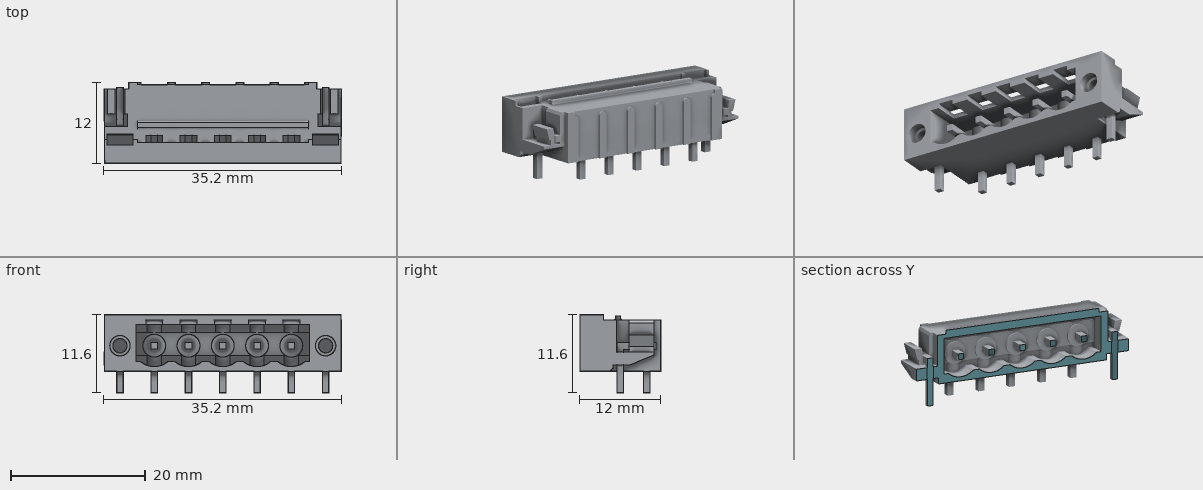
import cadquery as cq
import math


contact_count = 5
anchor_span = 30.5
pitch = anchor_span / (contact_count + 1)
pin_size = 1.0
pin_axis_z = 3.8
pin_tip_y = 1.05
pin_leg_y = 9.93
leg_bottom_z = -3.2
contact_xs = [(i - (contact_count - 1) / 2) * pitch for i in range(contact_count)]

anchor_x = anchor_span / 2
anchor_front_y = 5.5
anchor_rear_y = 11.25
anchor_axis_z = 3.75

depth = 12.0
front_half_width = 17.53
rear_half_width = 17.6
block_rear_y = 5.42
body_half_width = 13.95
body_height = 7.65
cap_height = 8.4
cap_rear_y = 3.52
recess_half_width = 12.67
cap_recess_y = 3.1
rear_wall_y = 11.65

neck_half_width = 14.1
pad_half_width = 14.7
pad_front_y = 7.32
wing_rear_y = 11.0
pad_chamfer_width = 0.25
pad_chamfer_height = 0.45

wing_top_z = 2.85
wing_tip_z = 2.43
wing_floor_z = 0.95
wing_slope_y = 7.43
foot_y = 4.9
foot_z = 0.45
hook_top_z = 5.42
hook_ledge_z = 3.7
hook_tip_x = 17.1
hook_ledge_x = 16.65
hook_neck_x = 16.4
hook_inner_top_x = 15.95
hook_inner_base_x = 15.77
hook_inner_bend_z = 4.45

cavity_half_width = 12.9
cavity_bottom_z = 1.48
cavity_top_z = 6.95
cavity_depth = 8.65
scallop_radius = 3.1
band_bottom_z = 2.35
band_top_z = 5.77
post_radius = 1.4
post_half_width = 1.05
post_tip_half_width = 0.25
boss_radius = 1.7
boss_front_y = 7.95
key_width = 2.5
key_rear_y = 4.15

flange_hole_radius = 1.5
flange_hole_depth = 1.48
flange_bore_radius = 1.05
nut_width = 3.87
nut_front_y = 2.75
nut_rear_top_y = 4.35
nut_rear_base_y = 4.22

ridge_front_y = 5.3
ridge_rear_y = 6.05
ridge_height = 0.6
ridge_fillet = 0.2
rib_radius = 0.6


def box(x0, x1, y0, y1, z0, z1):
    """Axis-aligned box between two corners."""
    return cq.Workplane("XY").box(x1 - x0, y1 - y0, z1 - z0, centered=False).translate((x0, y0, z0))


def wide_box(half_width, y0, y1, z0, z1):
    """Box that is symmetric about x = 0."""
    return box(-half_width, half_width, y0, y1, z0, z1)


def y_cylinder(x, z, radius, y0, y1):
    """Cylinder along Y."""
    return cq.Workplane("XZ", origin=(x, y0, z)).circle(radius).extrude(y0 - y1)


def both_sides(shape):
    """The shape together with its mirror image across x = 0."""
    return shape.union(shape.mirror("YZ"))


def contact_pin(x):
    """L-shaped contact: a horizontal mating pin with a solder leg."""
    half = pin_size / 2
    mating = box(x - half, x + half, pin_tip_y, pin_leg_y + half, pin_axis_z - half, pin_axis_z + half)
    leg = box(x - half, x + half, pin_leg_y - half, pin_leg_y + half, leg_bottom_z, pin_axis_z + half)
    return mating.union(leg).clean()


def anchor_pin(x):
    """L-shaped anchor: a solder leg with a horizontal arm on top of the wing."""
    half = pin_size / 2
    arm = box(x - half, x + half, anchor_front_y, anchor_rear_y, anchor_axis_z - half, anchor_axis_z + half)
    leg = box(
        x - half, x + half, anchor_front_y, anchor_front_y + pin_size, leg_bottom_z, anchor_axis_z + half
    )
    return arm.union(leg).clean()


def envelope():
    """Front block, raised cap and the body behind them."""
    block = wide_box(rear_half_width, 0, block_rear_y, 0, body_height)
    cap = wide_box(rear_half_width, 0, cap_rear_y, 0, cap_height)
    cap_recess = wide_box(recess_half_width, cap_recess_y, cap_rear_y, body_height, cap_height)
    body = wide_box(body_half_width, 0, depth, 0, body_height)
    neck = wide_box(neck_half_width, block_rear_y, pad_front_y, wing_top_z, body_height)
    rear_recess = wide_box(recess_half_width, rear_wall_y, depth, 0, body_height)
    return block.union(cap).cut(cap_recess).union(body).union(neck).cut(rear_recess)


def flank_pad():
    """Pad on the +X body side with a chamfered top edge."""
    return (
        cq.Workplane("XZ", origin=(0, pad_front_y, 0))
        .moveTo(0, wing_top_z)
        .lineTo(pad_half_width, wing_top_z)
        .lineTo(pad_half_width, body_height - pad_chamfer_height)
        .lineTo(pad_half_width - pad_chamfer_width, body_height)
        .lineTo(0, body_height)
        .close()
        .extrude(pad_front_y - wing_rear_y)
    )


def wing():
    """Tongue at +X behind the block with a slanted underside."""
    return (
        cq.Workplane("YZ")
        .moveTo(block_rear_y, wing_floor_z)
        .lineTo(wing_slope_y, wing_floor_z)
        .lineTo(wing_rear_y, wing_tip_z)
        .lineTo(wing_rear_y, wing_top_z)
        .lineTo(block_rear_y, wing_top_z)
        .close()
        .extrude(rear_half_width)
    )


def drafted_outline():
    """Full-height plan whose end faces widen slightly from the front to the wing tips."""
    return (
        cq.Workplane("XY")
        .moveTo(-front_half_width, 0)
        .lineTo(front_half_width, 0)
        .lineTo(rear_half_width, wing_rear_y)
        .lineTo(rear_half_width, depth)
        .lineTo(-rear_half_width, depth)
        .lineTo(-rear_half_width, wing_rear_y)
        .close()
        .extrude(cap_height)
    )


def hook():
    """Undercut hook standing on the +X wing."""
    return (
        cq.Workplane("XZ", origin=(0, pad_front_y, 0))
        .moveTo(hook_inner_base_x, wing_top_z)
        .lineTo(hook_neck_x, wing_top_z)
        .lineTo(hook_neck_x, hook_ledge_z)
        .lineTo(hook_ledge_x, hook_ledge_z)
        .lineTo(hook_tip_x, hook_top_z)
        .lineTo(hook_inner_top_x, hook_top_z)
        .lineTo(hook_inner_base_x, hook_inner_bend_z)
        .close()
        .extrude(pad_front_y - wing_rear_y)
    )


def foot_relief():
    """Clearance under the +X rear of the block, with a sloped front edge."""
    return (
        cq.Workplane("YZ", origin=(body_half_width, 0, 0))
        .moveTo(foot_y - foot_z, 0)
        .lineTo(foot_y, foot_z)
        .lineTo(foot_y, wing_floor_z)
        .lineTo(block_rear_y, wing_floor_z)
        .lineTo(block_rear_y, 0)
        .close()
        .extrude(rear_half_width - body_half_width)
    )


def plug_cavity():
    """Scalloped cavity with keyways, less the shapes that stand on its rear wall."""
    cavity = wide_box(cavity_half_width, 0, cavity_depth, cavity_bottom_z, cavity_top_z)
    post_axis_y = cavity_depth + math.sqrt(post_radius**2 - post_half_width**2)
    band_y = post_axis_y - math.sqrt(post_radius**2 - post_tip_half_width**2)
    band = wide_box(cavity_half_width, band_y, cavity_depth, band_bottom_z, band_top_z)
    below_floor = wide_box(cavity_half_width, 0, cavity_depth, 0, cavity_bottom_z)
    for x in contact_xs:
        scallop = y_cylinder(x, pin_axis_z, scallop_radius, 0, cavity_depth)
        cavity = cavity.union(scallop.intersect(below_floor))
    cavity = cavity.cut(band)
    for x in contact_xs:
        post = cq.Workplane("XY", origin=(x, post_axis_y, 0)).circle(post_radius).extrude(cap_height)
        boss = y_cylinder(x, pin_axis_z, boss_radius, boss_front_y, cavity_depth)
        cavity = cavity.cut(post).cut(boss)
    for x in contact_xs:
        keyway = box(x - key_width / 2, x + key_width / 2, 0, key_rear_y, cavity_top_z, body_height)
        cavity = cavity.union(keyway)
    return cavity


def flange_hole():
    """Stepped screw hole at +X that opens into a nut slot with a leaning rear wall."""
    hole = y_cylinder(anchor_x, pin_axis_z, flange_hole_radius, 0, flange_hole_depth)
    bore = y_cylinder(anchor_x, pin_axis_z, flange_bore_radius, 0, nut_front_y)
    half = nut_width / 2
    slot = (
        cq.Workplane("YZ", origin=(anchor_x - half, 0, 0))
        .moveTo(nut_front_y, pin_axis_z - half)
        .lineTo(nut_rear_base_y, pin_axis_z - half)
        .lineTo(nut_rear_top_y, body_height)
        .lineTo(nut_rear_top_y, cap_height)
        .lineTo(nut_front_y, cap_height)
        .close()
        .extrude(nut_width)
    )
    return hole.union(bore).union(slot)


def top_ridge():
    """Ridge across the top with concave fillets along both long edges."""
    crest_z = body_height + ridge_height
    inset = ridge_fillet * (1 - math.sqrt(0.5))
    arc_z = body_height + inset
    return (
        cq.Workplane("YZ", origin=(-recess_half_width, 0, 0))
        .moveTo(ridge_front_y - ridge_fillet, body_height)
        .threePointArc((ridge_front_y - inset, arc_z), (ridge_front_y, body_height + ridge_fillet))
        .lineTo(ridge_front_y, crest_z)
        .lineTo(ridge_rear_y, crest_z)
        .lineTo(ridge_rear_y, body_height + ridge_fillet)
        .threePointArc((ridge_rear_y + inset, arc_z), (ridge_rear_y + ridge_fillet, body_height))
        .close()
        .extrude(2 * recess_half_width)
    )


def rear_rib(x):
    """Round-topped rib on the rear wall, just below the top face."""
    centre_z = body_height - 2 * rib_radius
    stem = box(x - rib_radius, x + rib_radius, rear_wall_y, depth, 0, centre_z)
    return stem.union(y_cylinder(x, centre_z, rib_radius, rear_wall_y, depth))


contact_pins = [contact_pin(x) for x in contact_xs]
anchor_pins = [anchor_pin(x) for x in (-anchor_x, anchor_x)]

housing = envelope().cut(both_sides(foot_relief()))
for side_part in (flank_pad(), wing(), hook()):
    housing = housing.union(both_sides(side_part))
housing = housing.intersect(drafted_outline()).union(top_ridge())
for i in range(contact_count + 1):
    housing = housing.union(rear_rib((i - contact_count / 2) * pitch))
housing = housing.cut(plug_cavity()).cut(both_sides(flange_hole()))
for pin in contact_pins + anchor_pins:
    housing = housing.cut(pin)

result = cq.Compound.makeCompound(
    [housing.val()] + [pin.val() for pin in contact_pins] + [pin.val() for pin in anchor_pins]
)